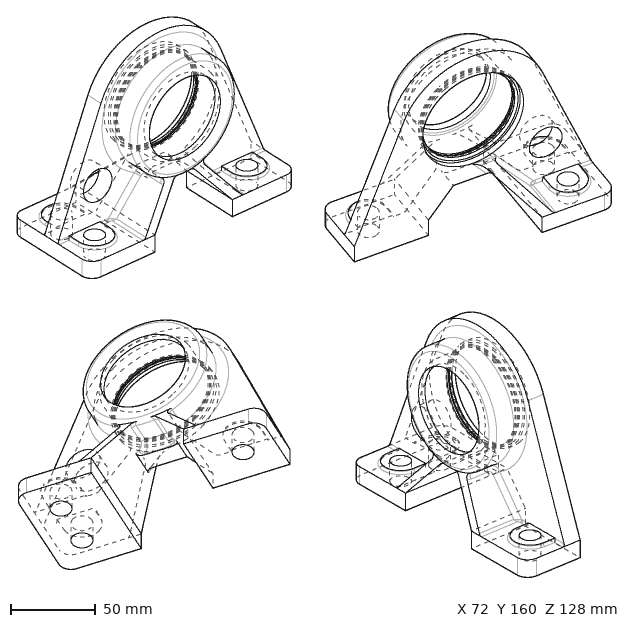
import cadquery as cq
import math

length = 160.0
width = 72.0
height = 128.0

plate_thickness = 12.0
crown_diameter = 100.0
crown_radius = crown_diameter / 2
plate_near_x = (width - plate_thickness) / 2
plate_far_x = plate_near_x + plate_thickness
axis_y = length / 2
axis_z = height - crown_radius
side_hole_diameter = 22.0
side_hole_y = 31.0
side_hole_z = 40.0

foot_thickness = 12.0
foot_gap = 60.0
foot_length = (length - foot_gap) / 2
foot_corner_radius = 8.0
arch_height = 32.0
arch_angle = math.radians(50)
arch_slope = 1 / math.tan(arch_angle)

bolt_hole_diameter = 13.0
bolt_end_distance = 21.0
bolt_offset = 15.0
bolt_places = [
    (width / 2 - bolt_offset, bolt_end_distance),
    (width / 2 + bolt_offset, bolt_end_distance),
    (width / 2 + bolt_offset, length - bolt_end_distance),
]
pad_radius = 12.0
pad_height = 2.0

boss_radius = 40.0
boss_end_x = 64.0
boss_root_radius = 5.6
boss_edge_radius = 3.2

seal_diameter = 68.0
seal_depth = 4.0
lead_in_diameter = 65.0
bore_diameter = 62.0
groove_diameter = 64.0
groove_width = 2.0
groove_land = 1.6
lip_diameter = 55.0
lip_thickness = 5.0
bore_corner_radius = 1.0

rib_thickness = plate_thickness / 2
rib_run = rib_thickness / math.sin(arch_angle)
rib_lean = math.radians(72)
rib_top_z = 43.2

rib_blend = 3.0
foot_blend = 1.5

tolerance = 0.02


def make_plate():
    """Plate with a round crown, straight flanks and an arch cut between the feet."""
    corner_distance = math.hypot(axis_y, axis_z - foot_thickness)
    corner_angle = math.atan2(axis_z - foot_thickness, axis_y)
    tangent_angle = math.acos(crown_radius / corner_distance) - corner_angle
    tangent_y = crown_radius * math.cos(tangent_angle)
    tangent_z = axis_z + crown_radius * math.sin(tangent_angle)
    arch_run = (arch_height - foot_thickness) * arch_slope
    return (
        cq.Workplane("YZ", origin=(plate_near_x, 0, 0))
        .moveTo(0, 0)
        .lineTo(0, foot_thickness)
        .lineTo(axis_y - tangent_y, tangent_z)
        .threePointArc((axis_y, height), (axis_y + tangent_y, tangent_z))
        .lineTo(length, foot_thickness)
        .lineTo(length, 0)
        .lineTo(length - foot_length, 0)
        .lineTo(length - foot_length, foot_thickness)
        .lineTo(length - foot_length - arch_run, arch_height)
        .lineTo(foot_length + arch_run, arch_height)
        .lineTo(foot_length, foot_thickness)
        .lineTo(foot_length, 0)
        .close()
        .extrude(plate_thickness)
    )


def make_feet():
    """Full-width foot at the front, and a one-sided foot at the rear."""
    front = (
        cq.Workplane("XY")
        .box(width, foot_length, foot_thickness, centered=False)
        .edges("|Z and <Y")
        .fillet(foot_corner_radius)
    )
    rear = (
        cq.Workplane("XY", origin=(plate_near_x, length - foot_length, 0))
        .box(width - plate_near_x, foot_length, foot_thickness, centered=False)
        .edges("|Z and >Y and >X")
        .fillet(foot_corner_radius)
    )
    return front.union(rear)


def make_boss():
    """Round boss, flared into the plate and rounded at its free end."""
    diagonal = math.sqrt(0.5)
    root_x = plate_far_x + boss_root_radius
    root_r = boss_radius + boss_root_radius
    edge_x = boss_end_x - boss_edge_radius
    edge_r = boss_radius - boss_edge_radius
    return (
        cq.Workplane("XY", origin=(0, axis_y, axis_z))
        .moveTo(plate_near_x, 0)
        .lineTo(plate_near_x, root_r)
        .lineTo(plate_far_x, root_r)
        .threePointArc(
            (root_x - boss_root_radius * diagonal, root_r - boss_root_radius * diagonal),
            (root_x, boss_radius),
        )
        .lineTo(edge_x, boss_radius)
        .threePointArc(
            (edge_x + boss_edge_radius * diagonal, edge_r + boss_edge_radius * diagonal),
            (boss_end_x, edge_r),
        )
        .lineTo(boss_end_x, 0)
        .close()
        .revolve(360, (0, 0, 0), (1, 0, 0))
    )


def make_front_rib_slab():
    """Leaning slab that continues the arch flank across the full width."""
    run = (rib_top_z - foot_thickness) * arch_slope
    outer_y = foot_length - rib_run
    return (
        cq.Workplane("YZ")
        .moveTo(outer_y, foot_thickness)
        .lineTo(foot_length, foot_thickness)
        .lineTo(foot_length + run, rib_top_z)
        .lineTo(outer_y + run, rib_top_z)
        .close()
        .extrude(width)
    )


def make_ribs():
    """Two ribs under the boss, and a triangular one on the other side of the plate."""
    slab = make_front_rib_slab()
    lean_run = (rib_top_z - foot_thickness) / math.tan(rib_lean)
    boss_side = (
        cq.Workplane("XZ")
        .moveTo(plate_near_x, foot_thickness)
        .lineTo(width, foot_thickness)
        .lineTo(width - lean_run, rib_top_z)
        .lineTo(plate_near_x, rib_top_z)
        .close()
        .extrude(-length)
    )
    plain_side = (
        cq.Workplane("XZ")
        .moveTo(0, foot_thickness)
        .lineTo(plate_near_x, foot_thickness + plate_near_x)
        .lineTo(plate_near_x, foot_thickness)
        .close()
        .extrude(-length)
    )
    boss_rib = slab.intersect(boss_side)
    mirrored = boss_rib.mirror("XZ", (0, axis_y, 0))
    return boss_rib.union(mirrored), slab.intersect(plain_side)


def rib_face_point(x, z, depth):
    """Point at height z on the front slab, at a depth through its thickness from the arch side."""
    arch_side_y = foot_length + (z - foot_thickness) * arch_slope
    return (x, arch_side_y - depth / math.sin(arch_angle), z)


def blend_ribs(body):
    """Round the ribs into the plate, the boss and the front and rear feet."""
    boss_bottom_z = axis_z - boss_radius
    mid_z = (foot_thickness + boss_bottom_z) / 2
    boss_mid_x = (plate_far_x + boss_end_x) / 2
    plain_tip_z = foot_thickness + plate_near_x
    boss_side = [
        rib_face_point(plate_far_x, mid_z, rib_thickness),
        rib_face_point(boss_mid_x, foot_thickness, rib_thickness),
        rib_face_point(boss_mid_x, boss_bottom_z, 0),
    ]
    plain_side = [
        rib_face_point(plate_near_x, mid_z, rib_thickness),
        rib_face_point(plate_near_x / 2, foot_thickness, rib_thickness),
        rib_face_point(plate_near_x, (arch_height + plain_tip_z) / 2, 0),
        rib_face_point(plate_near_x, plain_tip_z, rib_thickness / 2),
    ]
    mirrored = [(x, length - y, z) for x, y, z in boss_side]
    selected = []
    for point in boss_side + mirrored + plain_side:
        selected += body.edges(cq.selectors.NearestToPointSelector(point)).vals()
    return body.newObject(selected).fillet(rib_blend)


def add_pads(body):
    """Raise a round-ended pad at every bolt hole, running back to the plate."""
    for x, y in bolt_places:
        reach = width / 2 - x
        pad = (
            cq.Workplane("XY", origin=(x, y, foot_thickness))
            .circle(pad_radius)
            .extrude(pad_height)
        )
        arm = (
            cq.Workplane("XY", origin=(x + reach / 2, y, foot_thickness))
            .rect(abs(reach), 2 * pad_radius)
            .extrude(pad_height)
        )
        body = body.union(pad.union(arm))
    return body


def blend_feet(body):
    """Round the plate and the pads into the tops of the feet."""
    inner_y = foot_length - rib_run - rib_blend
    bottom = foot_thickness - tolerance
    top = foot_thickness + tolerance
    left = foot_corner_radius
    right = width - foot_corner_radius
    front = cq.selectors.BoxSelector((left, tolerance, bottom), (right, inner_y, top))
    rear = cq.selectors.BoxSelector(
        (plate_far_x - tolerance, length - inner_y, bottom), (right, length - tolerance, top)
    )
    return body.edges(front + rear).fillet(foot_blend)


def make_bore():
    """Stepped bore: seal seat, lead-in taper, ring groove, bearing seat and end lip."""
    seal_r = seal_diameter / 2
    lead_r = lead_in_diameter / 2
    bore_r = bore_diameter / 2
    groove_r = groove_diameter / 2
    lip_r = lip_diameter / 2
    seal_x = plate_near_x + seal_depth
    taper_x = seal_x + lead_r - bore_r
    groove_x = taper_x + groove_land
    groove_end_x = groove_x + groove_width
    lip_x = boss_end_x - lip_thickness
    corner_sag = bore_corner_radius * (1 - math.sqrt(0.5))
    return (
        cq.Workplane("XY", origin=(0, axis_y, axis_z))
        .moveTo(plate_near_x, 0)
        .lineTo(plate_near_x, seal_r)
        .lineTo(seal_x, seal_r)
        .lineTo(seal_x, lead_r)
        .lineTo(taper_x, bore_r)
        .lineTo(groove_x, bore_r)
        .lineTo(groove_x, groove_r)
        .lineTo(groove_end_x, groove_r)
        .lineTo(groove_end_x, bore_r)
        .lineTo(lip_x - bore_corner_radius, bore_r)
        .threePointArc(
            (lip_x - corner_sag, bore_r - corner_sag),
            (lip_x, bore_r - bore_corner_radius),
        )
        .lineTo(lip_x, lip_r)
        .lineTo(boss_end_x, lip_r)
        .lineTo(boss_end_x, 0)
        .close()
        .revolve(360, (0, 0, 0), (1, 0, 0))
    )


def make_small_holes():
    """Bolt holes through the feet and a cross hole through the plate."""
    bolts = (
        cq.Workplane("XY")
        .pushPoints(bolt_places)
        .circle(bolt_hole_diameter / 2)
        .extrude(foot_thickness + pad_height)
    )
    side_hole = (
        cq.Workplane("YZ", origin=(plate_near_x, 0, 0))
        .center(side_hole_y, side_hole_z)
        .circle(side_hole_diameter / 2)
        .extrude(plate_thickness)
    )
    return bolts.union(side_hole)


boss_ribs, plain_rib = make_ribs()
body = make_plate().union(make_feet()).union(make_boss()).union(boss_ribs).union(plain_rib)
body = blend_ribs(body)
body = blend_feet(add_pads(body))
result = body.cut(make_bore()).cut(make_small_holes())